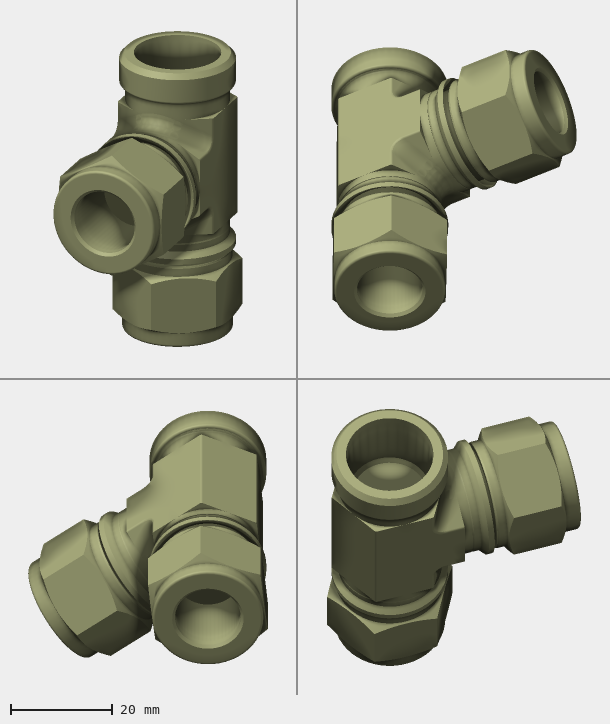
import cadquery as cq
import math

run_top = 22.4
arm_length = 36.1

stem_radius = 20.6 / 2
body_reach = 12.35
stem_reach = 14.05
crotch_radius = 2.9
flat_edge_radius = 0.6
seam_turn = 20
tolerance = 0.0005
hex_corner = 2 * stem_radius / math.sqrt(3)

flange_radius = 23.0 / 2
head_chamfer_width = 1.0
head_chamfer_height = 1.05
head_height = 6.3
head_round = 0.5
mouth_radius = 17.2 / 2
seat_radius = 16.0 / 2
floor_radius = 14.5 / 2
seat_depth = 12.85

ring_edge = 0.35
ring_edge_drop = 0.1
flange_cone_start = 15.8
flange_start = 16.95
flange_end = 18.15
flange_lip = 0.2
neck_radius = 18.9 / 2
collar_radius = 21.5 / 2
collar_start = 18.95

nut_start = 21.0
nut_end = 33.05
nut_flats = 22.25
nut_corner_radius = nut_flats / math.sqrt(3)
nut_chamfer_angle = 30
nut_end_radius = 21.8 / 2
nut_end_round = 0.5
bore_radius = 12.9 / 2
bore_chamfer = 0.555


def revolve_arm(profile):
    """Revolve (radius, distance) points about Z, with distance running towards -Z."""
    points = [(radius, -distance) for radius, distance in profile]
    return cq.Workplane("XZ").polyline(points).close().revolve(360, (0, 0, 0), (0, 1, 0))


def flatted_prism(clip_back):
    """Hexagonal prism along Z whose clipped corners are rounded off tangent to the flats."""
    flat_half = hex_corner / 2
    tangent_x = stem_radius / 2
    tangent_y = stem_radius * math.cos(math.radians(30))
    outline = (
        cq.Workplane("XY")
        .workplane(offset=-body_reach)
        .moveTo(-tangent_x, -tangent_y)
        .lineTo(-stem_radius, -flat_half)
        .lineTo(-stem_radius, flat_half)
    )
    if clip_back:
        outline = outline.lineTo(-tangent_x, tangent_y)
        outline = outline.threePointArc((0, stem_radius), (tangent_x, tangent_y))
    else:
        outline = outline.lineTo(0, hex_corner)
    outline = (
        outline.lineTo(stem_radius, flat_half)
        .lineTo(stem_radius, -flat_half)
        .lineTo(tangent_x, -tangent_y)
        .threePointArc((0, -stem_radius), (-tangent_x, -tangent_y))
        .close()
    )
    return outline


def turn_to_branch(shape):
    """Swing a shape lying along -Z round to -Y."""
    return shape.rotate((0, 0, 0), (1, 0, 0), -90)


def round_stem(length):
    """Cylinder along -Z, turned so that its seam stays clear of the flats and the crotch."""
    stem = cq.Workplane("XY").circle(stem_radius).extrude(-length)
    return stem.rotate((0, 0, 0), (0, 0, 1), seam_turn)


def lies_on(edge, test):
    """True when the start, middle and end of an edge all pass the test."""
    return all(test(edge.positionAt(t)) for t in (0, 0.5, 1))


def on_mitre(point):
    """The crotch edges lie on the two 45 degree planes between the run and the branch."""
    return point.y < -tolerance and abs(point.y + abs(point.z)) < tolerance


def on_flat(point):
    return abs(abs(point.x) - stem_radius) < tolerance


def on_end_face(point):
    return abs(abs(point.z) - body_reach) < tolerance or abs(point.y + body_reach) < tolerance


def make_body():
    """Forged body: run and branch prisms with their stems, blended together."""
    lower_stem = round_stem(stem_reach)
    upper_stem = round_stem(run_top - head_height - head_round).mirror("XY")
    run = flatted_prism(False).extrude(2 * body_reach).union(lower_stem).union(upper_stem)
    branch = flatted_prism(True).extrude(body_reach).union(round_stem(stem_reach))
    body = run.union(turn_to_branch(branch)).clean()

    crotch = [edge for edge in body.edges().vals() if lies_on(edge, on_mitre)]
    body = body.newObject(crotch).fillet(crotch_radius)

    flat_outline = [
        edge
        for edge in body.edges().vals()
        if lies_on(edge, on_flat) and not lies_on(edge, on_end_face)
    ]
    return body.newObject(flat_outline).fillet(flat_edge_radius)


def add_socket_head(body):
    """Chamfered head on top of the run, blended into the stem, with a blind tapered socket and seat."""
    head_bottom = run_top - head_height
    head = (
        cq.Workplane("XZ")
        .moveTo(0, run_top)
        .lineTo(flange_radius - head_chamfer_width, run_top)
        .lineTo(flange_radius, run_top - head_chamfer_height)
        .lineTo(flange_radius, head_bottom + head_round)
        .radiusArc((flange_radius - head_round, head_bottom), head_round)
        .lineTo(stem_radius + head_round, head_bottom)
        .radiusArc((stem_radius, head_bottom - head_round), -head_round)
        .lineTo(0, head_bottom - head_round)
        .close()
        .revolve(360, (0, 0, 0), (0, 1, 0))
    )
    seat_height = run_top - seat_depth
    floor_height = seat_height - (seat_radius - floor_radius)
    socket = (
        cq.Workplane("XZ")
        .moveTo(0, run_top)
        .lineTo(mouth_radius, run_top)
        .lineTo(seat_radius, seat_height)
        .lineTo(floor_radius, floor_height)
        .lineTo(0, floor_height)
        .close()
        .revolve(360, (0, 0, 0), (0, 1, 0))
    )
    return body.union(head).cut(socket)


def make_arm():
    """Flanged ring and nut along -Z, before boring."""
    lip_radius = flange_radius - flange_lip
    hollow_start = flange_end - (lip_radius - neck_radius)
    rings = revolve_arm(
        [
            (0, stem_reach),
            (stem_radius - ring_edge_drop, stem_reach),
            (stem_radius, stem_reach + ring_edge),
            (stem_radius, flange_cone_start),
            (flange_radius, flange_start),
            (flange_radius, flange_end),
            (lip_radius, flange_end),
            (neck_radius, hollow_start),
            (neck_radius, collar_start),
            (collar_radius - ring_edge_drop, collar_start),
            (collar_radius, collar_start + ring_edge),
            (collar_radius, nut_start),
            (0, nut_start),
        ]
    )

    chamfer_slope = math.tan(math.radians(nut_chamfer_angle))
    start_drop = (nut_corner_radius - collar_radius) * chamfer_slope
    end_drop = (nut_corner_radius - nut_end_radius) * chamfer_slope
    hexagon = (
        cq.Workplane("XY")
        .workplane(offset=-nut_end)
        .polygon(6, 2 * nut_corner_radius)
        .extrude(nut_end - nut_start)
        .rotate((0, 0, 0), (0, 0, 1), 90)
    )
    chamfered_blank = revolve_arm(
        [
            (0, nut_start),
            (collar_radius, nut_start),
            (nut_corner_radius, nut_start + start_drop),
            (nut_corner_radius, nut_end - end_drop),
            (nut_end_radius, nut_end),
            (0, nut_end),
        ]
    )
    nut_tail = (
        cq.Workplane("XY")
        .workplane(offset=-arm_length)
        .circle(nut_end_radius)
        .extrude(arm_length - nut_end)
        .faces("<Z")
        .edges()
        .fillet(nut_end_round)
    )
    return rings.union(hexagon.intersect(chamfered_blank)).union(nut_tail)


def make_bore():
    """Blind tube bore along -Z with a chamfered mouth, reaching the inner face of the nut."""
    return revolve_arm(
        [
            (0, nut_start),
            (bore_radius, nut_start),
            (bore_radius, arm_length - bore_chamfer),
            (bore_radius + bore_chamfer, arm_length),
            (0, arm_length),
        ]
    )


arm = make_arm().cut(make_bore())
result = add_socket_head(make_body()).union(arm).union(turn_to_branch(arm)).clean()